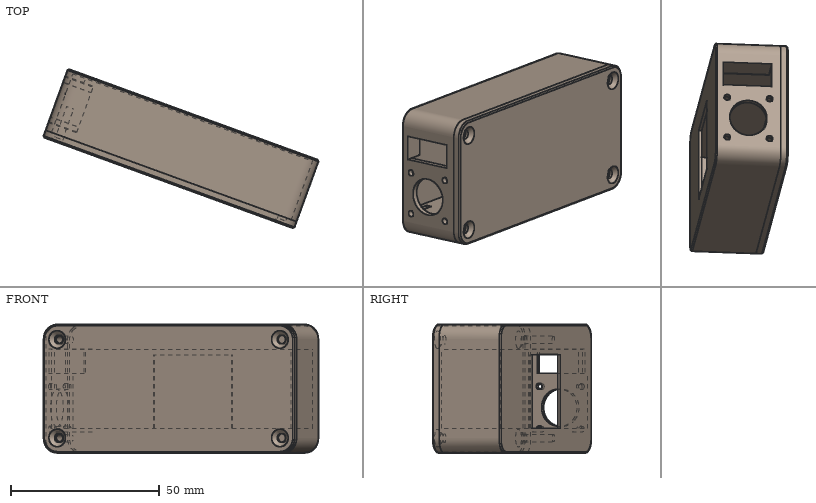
import cadquery as cq

TURN_ANGLE = -20
LENGTH = 90.1
HEIGHT = 43.4
DEPTH = 24.6
CORNER_RADIUS = 5.0
EDGE_CHAMFER = 0.5
COVER_THICKNESS = 2.5

END_WALL = 2.0
BACK_WALL = 1.0
SIDE_WALL = 8.4

SCREW_INSET = 5.1
SCREW_HOLE_DIAMETER = 3.0
SCREW_HEAD_DIAMETER = 5.9
COUNTERSINK_ANGLE = 90
PILOT_DIAMETER = 2.5
PILOT_DEPTH = 10.0

CUTOUT_REACH = 10.0
SWITCH_FROM_BACK = 10.8
SWITCH_WIDTH = 16.4
SWITCH_HEIGHT = 8.2
SWITCH_FROM_TOP = 8.25
PAD_REACH = 6.6
SOCKET_DIAMETER = 12.6
SOCKET_FROM_BACK = 11.0
SOCKET_FROM_BOTTOM = 15.3
SOCKET_SCREW_DIAMETER = 2.0
SOCKET_SCREW_PITCH = 14.4

OPENING_LENGTH = 28.0
OPENING_HEIGHT = 24.75

FRONT_Y = -DEPTH / 2
SEAM_Y = FRONT_Y + COVER_THICKNESS
BACK_Y = DEPTH / 2
LEFT_X = -LENGTH / 2
TOP_Z = HEIGHT / 2
BOTTOM_Z = -HEIGHT / 2
SWITCH_Y = BACK_Y - SWITCH_FROM_BACK
SWITCH_TOP = TOP_Z - SWITCH_FROM_TOP
SCREW_X = LENGTH / 2 - SCREW_INSET
SCREW_Z = HEIGHT / 2 - SCREW_INSET


def block(x_range, y_range, z_range):
    """Box spanning the given (low, high) ranges."""
    sizes = [high - low for low, high in (x_range, y_range, z_range)]
    lows = (x_range[0], y_range[0], z_range[0])
    return cq.Workplane("XY").box(*sizes, centered=False).translate(lows)


def rounded_slab(low_y, high_y):
    """Slab with the enclosure's rounded outline, between two Y positions."""
    slab = block((LEFT_X, -LEFT_X), (low_y, high_y), (BOTTOM_Z, TOP_Z))
    return slab.edges("|Y").fillet(CORNER_RADIUS)


def cutter_along_x(y, z, diameter):
    """Round cutter that enters through the -X end wall."""
    plane = cq.Workplane("YZ", origin=(LEFT_X, y, z))
    return plane.circle(diameter / 2).extrude(CUTOUT_REACH)


def make_end_cutouts():
    """Switch window, round socket hole and the socket's four screw holes."""
    socket_y = BACK_Y - SOCKET_FROM_BACK
    socket_z = BOTTOM_Z + SOCKET_FROM_BOTTOM
    cutouts = block(
        (LEFT_X, LEFT_X + CUTOUT_REACH),
        (SWITCH_Y - SWITCH_WIDTH / 2, SWITCH_Y + SWITCH_WIDTH / 2),
        (SWITCH_TOP - SWITCH_HEIGHT, SWITCH_TOP),
    )
    cutouts = cutouts.add(cutter_along_x(socket_y, socket_z, SOCKET_DIAMETER))
    half_pitch = SOCKET_SCREW_PITCH / 2
    for y in (socket_y - half_pitch, socket_y + half_pitch):
        for z in (socket_z - half_pitch, socket_z + half_pitch):
            cutouts = cutouts.add(cutter_along_x(y, z, SOCKET_SCREW_DIAMETER))
    return cutouts.combine()


def make_housing():
    """Deep tray, open towards the cover."""
    housing = rounded_slab(SEAM_Y, BACK_Y).faces(">Y").chamfer(EDGE_CHAMFER)

    cavity = block(
        (LEFT_X + END_WALL, -LEFT_X - END_WALL),
        (SEAM_Y, BACK_Y - BACK_WALL),
        (BOTTOM_Z + SIDE_WALL, TOP_Z - SIDE_WALL),
    )
    opening_bottom = BOTTOM_Z + SIDE_WALL
    opening = block(
        (-OPENING_LENGTH / 2, OPENING_LENGTH / 2),
        (BACK_Y - BACK_WALL, BACK_Y),
        (opening_bottom, opening_bottom + OPENING_HEIGHT),
    )

    pad = block(
        (LEFT_X + END_WALL, LEFT_X + PAD_REACH),
        (SWITCH_Y + SWITCH_WIDTH / 2, BACK_Y - BACK_WALL),
        (SWITCH_TOP - SWITCH_HEIGHT, TOP_Z - SIDE_WALL),
    )
    cavity = cavity.cut(pad)
    housing = housing.cut(cavity).cut(opening).cut(make_end_cutouts())

    pilot_places = [(-SCREW_X, -SCREW_Z), (-SCREW_X, SCREW_Z)]
    pilots = cq.Workplane("XZ", origin=(0, SEAM_Y, 0)).pushPoints(pilot_places)
    pilots = pilots.circle(PILOT_DIAMETER / 2).extrude(-PILOT_DEPTH)
    return housing.cut(pilots)


def make_cover():
    """Flat plate with a countersunk screw hole in each corner."""
    cover = rounded_slab(FRONT_Y, SEAM_Y).faces("<Y").chamfer(EDGE_CHAMFER)
    screw_places = [(x, z) for x in (-SCREW_X, SCREW_X) for z in (-SCREW_Z, SCREW_Z)]
    return (
        cover.faces("<Y")
        .workplane(origin=(0, FRONT_Y, 0))
        .pushPoints(screw_places)
        .cskHole(SCREW_HOLE_DIAMETER, SCREW_HEAD_DIAMETER, COUNTERSINK_ANGLE)
    )


def turned(body):
    """The body turned to its final direction about the Z axis."""
    return body.rotate((0, 0, 0), (0, 0, 1), TURN_ANGLE)


housing = turned(make_housing())
cover = turned(make_cover())

result = cq.Compound.makeCompound([housing.val(), cover.val()])